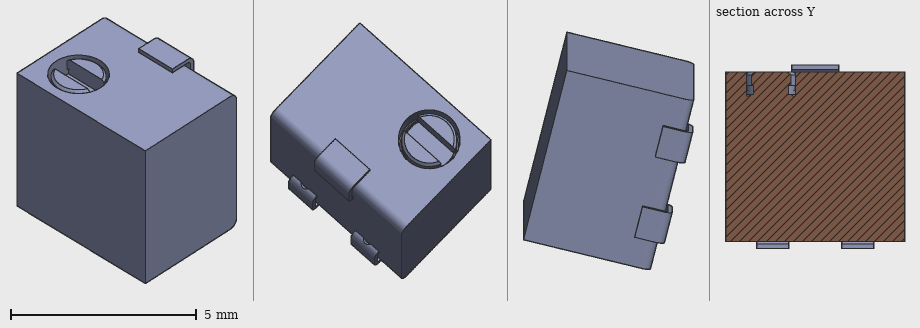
import cadquery as cq
import math

body_width = 4.83
body_depth = 3.53
body_height = 4.57
edge_radius = 0.25
body_front = -body_depth / 2
body_rear = body_depth / 2

overall_depth = 3.71
overall_height = 4.95
strip_thickness = 0.127
bend_outer_radius = 0.25
bend_inner_radius = bend_outer_radius - strip_thickness
foot_length = 0.83
strip_rear = body_front + overall_depth
foot_outer_height = overall_height / 2
root_embedding = 0.1

top_terminal_width = 1.27
top_terminal_straight = 0.637
bottom_terminal_width = 0.87
bottom_terminal_straight = 0.56
bottom_terminal_pitch = 2.29

dimple_radius = 0.14
dimple_inset = 0.05

top_face = body_height / 2
screw_x = -1.19
screw_y = body_front + 1.125
bore_radius = 0.83
screw_radius = 0.745
screw_chamfer = 0.075
screw_head_depth = 0.36
shank_radius = 0.70
gap_depth = 0.60
collar_outer_radius = 0.79
collar_bevel = collar_outer_radius - screw_radius
slot_width = 0.55
slot_depth = 0.50


def make_housing():
    block = cq.Workplane("XY").box(body_width, body_depth, body_height)
    return block.faces(">Y").edges("|X").fillet(edge_radius)


def make_terminal(width, straight_length):
    """Top terminal strip centred on X = 0: foot, bend, straight leg, bend and root."""
    bend_y = strip_rear - bend_outer_radius
    foot_tip = strip_rear - foot_length
    foot_inner_height = foot_outer_height - strip_thickness
    leg_inner = strip_rear - strip_thickness
    leg_top = foot_outer_height - bend_outer_radius
    leg_bottom = leg_top - straight_length
    root_tip = bend_y - root_embedding
    diagonal = math.sqrt(0.5)
    outer_diagonal = bend_outer_radius * diagonal
    inner_diagonal = bend_inner_radius * diagonal
    profile = (
        cq.Workplane("YZ", origin=(-width / 2, 0, 0))
        .moveTo(foot_tip, foot_outer_height)
        .lineTo(bend_y, foot_outer_height)
        .threePointArc((bend_y + outer_diagonal, leg_top + outer_diagonal), (strip_rear, leg_top))
        .lineTo(strip_rear, leg_bottom)
        .threePointArc(
            (bend_y + outer_diagonal, leg_bottom - outer_diagonal),
            (bend_y, leg_bottom - bend_outer_radius),
        )
        .lineTo(root_tip, leg_bottom - bend_outer_radius)
        .lineTo(root_tip, leg_bottom - bend_inner_radius)
        .lineTo(bend_y, leg_bottom - bend_inner_radius)
        .threePointArc((bend_y + inner_diagonal, leg_bottom - inner_diagonal), (leg_inner, leg_bottom))
        .lineTo(leg_inner, leg_top)
        .threePointArc((bend_y + inner_diagonal, leg_top + inner_diagonal), (bend_y, foot_inner_height))
        .lineTo(foot_tip, foot_inner_height)
        .close()
    )
    return profile.extrude(width)


def make_bottom_terminal(centre_x):
    """Bottom terminal: the strip turned upside down, with a dimple in its upper bend."""
    strip = make_terminal(bottom_terminal_width, bottom_terminal_straight).mirror("XY")
    strip_top = 2 * bend_outer_radius + bottom_terminal_straight - foot_outer_height
    dimple = cq.Workplane("XY").sphere(dimple_radius)
    dimple = dimple.translate((0, body_rear - dimple_inset, strip_top))
    return strip.cut(dimple).translate((centre_x, 0, 0))


def make_screw_recess():
    """Material removed around the screw: the annular gap, undercut below the head, with a beveled floor."""
    gap = (
        cq.Workplane("XZ")
        .moveTo(screw_radius - screw_chamfer, 0)
        .lineTo(screw_radius, -screw_chamfer)
        .lineTo(screw_radius, -screw_head_depth)
        .lineTo(shank_radius, -screw_head_depth)
        .lineTo(shank_radius, -gap_depth)
        .lineTo(screw_radius, -gap_depth)
        .lineTo(collar_outer_radius, -gap_depth - collar_bevel)
        .lineTo(bore_radius, -gap_depth - collar_bevel)
        .lineTo(bore_radius, 0)
        .close()
        .revolve(360, (0, 0, 0), (0, 1, 0))
    )
    return gap.translate((screw_x, screw_y, top_face))


def make_screw_slot():
    """Screwdriver slot: across the whole head, and deeper within the shank."""

    def slot_level(radius, depth):
        disc = cq.Workplane("XY").circle(radius).extrude(-depth)
        return disc.intersect(cq.Workplane("XY").box(2 * radius, slot_width, 2 * depth))

    slot = slot_level(screw_radius, screw_head_depth).union(slot_level(shank_radius, slot_depth))
    return slot.translate((screw_x, screw_y, top_face))


housing = make_housing()
result = housing.union(make_terminal(top_terminal_width, top_terminal_straight))
for side in (-1, 1):
    terminal = make_bottom_terminal(side * bottom_terminal_pitch / 2)
    result = result.union(terminal.cut(housing))
result = result.cut(make_screw_recess()).cut(make_screw_slot())